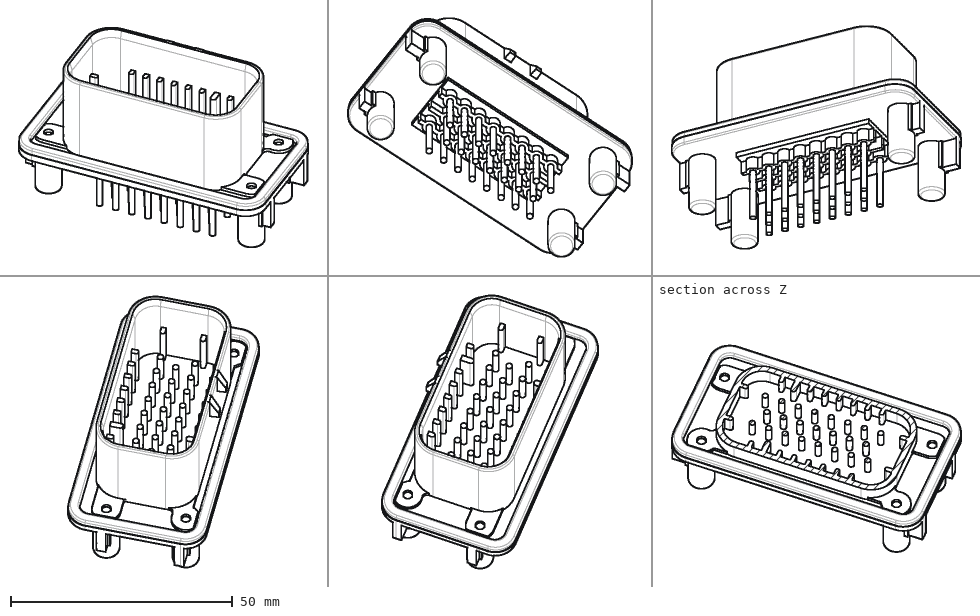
import cadquery as cq
import math

BASE_TOP = 1.8
FLANGE_TOP = 3.35
PAD_TOP = 2.6
PIN_TOP = 9.35
RIB_TOP = 12.15
SHELL_TOP = 21.9
SLAB_BOTTOM = -1.15
BOSS_BOTTOM = -4.1
LEG_BOTTOM = -6.7
POST_BOTTOM = -12.5
PIN_BOTTOM = -16.2

FLANGE_LENGTH = 60.8
FLANGE_WIDTH = 32.1
FLANGE_CORNER = 5.0
RIM_STEP = 0.1
RIM_FILLET = 0.4
BASE_FILLET = 0.35
RECESS_LENGTH = 55.6
RECESS_WIDTH = 26.75
RECESS_CORNER = 2.45

SHELL_LENGTH = 43.4
SHELL_WIDTH = 23.6
SHELL_CORNER = 6.25
SHELL_WALL = 1.5
SHELL_FILLET = 0.4
LEAD_IN_DEPTH = 1.8
LEAD_IN_INSET = 0.55

LATCH_SPACING = 7.2
LATCH_TIP_WIDTH = 1.45
LATCH_BASE_WIDTH = 1.95
LATCH_TIP_Y = 13.8
LATCH_TOP_Y = 11.7
LATCH_ROOT_Y = 11.3
LATCH_BOTTOM = 16.4
LATCH_SHOULDER = 17.95

REAR_POST_X = 23.65
REAR_POST_Y = 10.75
FRONT_POST_X = 25.2
FRONT_POST_Y = -7.3
POST_RADIUS = 3.05
POST_FILLET = 0.55
PAD_RADIUS = 3.3
PAD_HOLE_DIAMETER = 2.1
PAD_ROOT_X = 17.0
REAR_PAD_FLAT_Y = 13.0
REAR_PAD_SHOULDER_X = 21.2
REAR_PAD_ARM_X = 20.2
REAR_PAD_ARM_Y = 11.7
REAR_PAD_NECK_RADIUS = 1.2
FRONT_PAD_FLAT_X = 27.25
FRONT_PAD_NECK_RADIUS = 0.35

LEG_FIN_WIDTH = 2.1
LEG_WEB_WIDTH = 3.2
LEG_WEB_REACH = 3.35

LONG_ROW_COUNT = 8
LONG_ROW_SPAN = 28.0
PIN_PITCH = LONG_ROW_SPAN / (LONG_ROW_COUNT - 1)
PIN_DIAMETER = 1.4
PIN_ROWS = ((PIN_PITCH, LONG_ROW_COUNT), (0.0, LONG_ROW_COUNT - 1), (-PIN_PITCH, LONG_ROW_COUNT))
BOSS_DIAMETER = 3.1
BOSS_WEB_WIDTH = 1.05
SLAB_LENGTH = 33.45
SLAB_WIDTH = 14.0

RIB_COUNT = 8
RIB_SPAN = 24.4
RIB_PITCH = RIB_SPAN / (RIB_COUNT - 1)
RIB_WIDTH = 1.1
RIB_REACH = 1.65
KEY_RIB_INDEX = 6
KEY_RIB_WIDTH = 1.35
KEY_RIB_REACH = 3.0
END_RIB_WIDTH = 1.15
END_RIB_REACH = 1.75
END_RIB_Y = 4.7


def rounded_block(length, width, corner, bottom, top):
    """Block centred on Z with rounded vertical edges."""
    block = cq.Workplane("XY").workplane(offset=bottom).rect(length, width).extrude(top - bottom)
    return block.edges("|Z").fillet(corner)


def box(x_min, x_max, y_min, y_max, bottom, top):
    """Box between the given limits."""
    corner = (x_min, y_min, bottom)
    block = cq.Workplane("XY").box(x_max - x_min, y_max - y_min, top - bottom, centered=False)
    return block.translate(corner)


def cylinders(centres, diameter, bottom, top):
    """Equal vertical cylinders at the given centres."""
    circles = cq.Workplane("XY").workplane(offset=bottom).pushPoints(centres).circle(diameter / 2)
    return circles.extrude(top - bottom)


def both_ends(shape):
    """The shape together with its mirror image across the YZ plane."""
    return shape.union(shape.mirror("YZ"))


def make_flange():
    base = rounded_block(FLANGE_LENGTH, FLANGE_WIDTH, FLANGE_CORNER, 0, BASE_TOP)
    base = base.faces("<Z").edges().fillet(BASE_FILLET)
    rim = rounded_block(
        FLANGE_LENGTH - 2 * RIM_STEP,
        FLANGE_WIDTH - 2 * RIM_STEP,
        FLANGE_CORNER - RIM_STEP,
        BASE_TOP,
        FLANGE_TOP,
    )
    recess = rounded_block(RECESS_LENGTH, RECESS_WIDTH, RECESS_CORNER, BASE_TOP, FLANGE_TOP)
    rim = rim.cut(recess).faces(">Z").edges().fillet(RIM_FILLET)
    return base.union(rim)


def make_shell_block():
    block = rounded_block(SHELL_LENGTH, SHELL_WIDTH, SHELL_CORNER, BASE_TOP, SHELL_TOP)
    return block.faces(">Z").edges().fillet(SHELL_FILLET)


def make_cavity():
    """Space inside the shell, widening towards the mouth."""
    length = SHELL_LENGTH - 2 * SHELL_WALL
    width = SHELL_WIDTH - 2 * SHELL_WALL
    corner = SHELL_CORNER - SHELL_WALL
    cavity = rounded_block(length, width, corner, BASE_TOP, SHELL_TOP)
    mouth_plan = (
        cq.Sketch()
        .rect(length + 2 * LEAD_IN_INSET, width + 2 * LEAD_IN_INSET)
        .vertices()
        .fillet(corner + LEAD_IN_INSET)
    )
    lead_in_angle = math.degrees(math.atan2(LEAD_IN_INSET, LEAD_IN_DEPTH))
    mouth = cq.Workplane("XY").workplane(offset=SHELL_TOP).placeSketch(mouth_plan)
    mouth = mouth.extrude(-LEAD_IN_DEPTH, taper=lead_in_angle)
    return cavity.union(mouth)


def make_latch(x):
    """Ramp that narrows away from the wall."""
    side = [
        (LATCH_ROOT_Y, LATCH_BOTTOM),
        (LATCH_TIP_Y, LATCH_BOTTOM),
        (LATCH_TIP_Y, LATCH_SHOULDER),
        (LATCH_TOP_Y, SHELL_TOP),
        (LATCH_ROOT_Y, SHELL_TOP),
    ]
    plan = [
        (-LATCH_BASE_WIDTH / 2, LATCH_ROOT_Y),
        (-LATCH_TIP_WIDTH / 2, LATCH_TIP_Y),
        (LATCH_TIP_WIDTH / 2, LATCH_TIP_Y),
        (LATCH_BASE_WIDTH / 2, LATCH_ROOT_Y),
    ]
    ramp = cq.Workplane("YZ").polyline(side).close().extrude(LATCH_BASE_WIDTH / 2, both=True)
    outline = cq.Workplane("XY").polyline(plan).close().extrude(SHELL_TOP)
    return ramp.intersect(outline).translate((x, 0, 0))


def make_rear_pad():
    """Round pad at +X, +Y, cut flat on its outer side, with an arm and a filleted neck to the shell."""
    shell_x = SHELL_LENGTH / 2
    flat_x = REAR_POST_X + math.sqrt(PAD_RADIUS**2 - (REAR_PAD_FLAT_Y - REAR_POST_Y) ** 2)
    neck_x = shell_x + REAR_PAD_NECK_RADIUS
    neck_top = REAR_POST_Y - math.sqrt(PAD_RADIUS**2 - (REAR_POST_X - neck_x) ** 2)
    neck_y = neck_top - REAR_PAD_NECK_RADIUS
    diagonal = REAR_PAD_NECK_RADIUS * math.sqrt(0.5)
    outline = (
        cq.Workplane("XY")
        .workplane(offset=BASE_TOP)
        .moveTo(PAD_ROOT_X, REAR_PAD_ARM_Y)
        .lineTo(REAR_PAD_ARM_X, REAR_PAD_ARM_Y)
        .lineTo(REAR_PAD_SHOULDER_X, REAR_PAD_FLAT_Y)
        .lineTo(flat_x, REAR_PAD_FLAT_Y)
        .threePointArc((REAR_POST_X + PAD_RADIUS, REAR_POST_Y), (neck_x, neck_top))
        .threePointArc((neck_x - diagonal, neck_y + diagonal), (shell_x, neck_y))
        .lineTo(PAD_ROOT_X, neck_y)
        .close()
    )
    return outline.extrude(PAD_TOP - BASE_TOP)


def make_front_pad():
    """Pad at +X, -Y, rounded about its post, cut flat at its end and running into the shell."""
    shell_x = SHELL_LENGTH / 2
    top = FRONT_POST_Y + PAD_RADIUS
    bottom = FRONT_POST_Y - PAD_RADIUS
    flat_offset = FRONT_PAD_FLAT_X - FRONT_POST_X
    flat_half = math.sqrt(PAD_RADIUS**2 - flat_offset**2)
    half_angle = (math.pi / 2 + math.atan2(flat_half, flat_offset)) / 2
    mid_x = FRONT_POST_X + PAD_RADIUS * math.cos(half_angle)
    mid_rise = PAD_RADIUS * math.sin(half_angle)
    neck = FRONT_PAD_NECK_RADIUS
    diagonal = neck * math.sqrt(0.5)
    outline = (
        cq.Workplane("XY")
        .workplane(offset=BASE_TOP)
        .moveTo(PAD_ROOT_X, bottom)
        .lineTo(FRONT_POST_X, bottom)
        .threePointArc((mid_x, FRONT_POST_Y - mid_rise), (FRONT_PAD_FLAT_X, FRONT_POST_Y - flat_half))
        .lineTo(FRONT_PAD_FLAT_X, FRONT_POST_Y + flat_half)
        .threePointArc((mid_x, FRONT_POST_Y + mid_rise), (FRONT_POST_X, top))
        .lineTo(shell_x + neck, top)
        .threePointArc((shell_x + neck - diagonal, top + neck - diagonal), (shell_x, top + neck))
        .lineTo(PAD_ROOT_X, top + neck)
        .close()
    )
    return outline.extrude(PAD_TOP - BASE_TOP)


def make_post(x, y):
    """Mounting post and the leg that ties it to the end of the flange."""
    post = cylinders([(x, y)], 2 * POST_RADIUS, POST_BOTTOM, BASE_TOP)
    post = post.faces("<Z").edges().fillet(POST_FILLET)
    fin = box(x, FLANGE_LENGTH / 2, y - LEG_FIN_WIDTH / 2, y + LEG_FIN_WIDTH / 2, LEG_BOTTOM, BASE_TOP)
    web = box(x, x + LEG_WEB_REACH, y - LEG_WEB_WIDTH / 2, y + LEG_WEB_WIDTH / 2, LEG_BOTTOM, BASE_TOP)
    limit = rounded_block(FLANGE_LENGTH, FLANGE_WIDTH, FLANGE_CORNER, LEG_BOTTOM, BASE_TOP)
    return post.union(fin.union(web).intersect(limit))


def pin_centres():
    """Centres of all pins, row by row."""
    return [
        ((index - (count - 1) / 2) * PIN_PITCH, y)
        for y, count in PIN_ROWS
        for index in range(count)
    ]


def make_pin_carrier():
    """Slab under the flange with one webbed row of bosses per pin row."""
    half = SLAB_LENGTH / 2
    carrier = box(-half, half, -SLAB_WIDTH / 2, SLAB_WIDTH / 2, SLAB_BOTTOM, BASE_TOP)
    for y, _ in PIN_ROWS:
        carrier = carrier.union(
            box(-half, half, y - BOSS_WEB_WIDTH / 2, y + BOSS_WEB_WIDTH / 2, BOSS_BOTTOM, BASE_TOP)
        )
    return carrier.union(cylinders(pin_centres(), BOSS_DIAMETER, BOSS_BOTTOM, BASE_TOP))


def make_pins():
    return cylinders(pin_centres(), PIN_DIAMETER, PIN_BOTTOM, PIN_TOP)


def make_rib(width, reach):
    """Rib with a rounded nose, reaching along +X from a wall face at x = 0."""
    nose = cylinders([(reach - width / 2, 0)], width, BASE_TOP, RIB_TOP)
    body = box(-SHELL_WALL / 2, reach - width / 2, -width / 2, width / 2, BASE_TOP, RIB_TOP)
    return body.union(nose)


def make_ribs():
    wall_x = SHELL_LENGTH / 2 - SHELL_WALL
    wall_y = SHELL_WIDTH / 2 - SHELL_WALL
    ribs = cq.Workplane("XY")
    for index in range(RIB_COUNT):
        is_key = index == KEY_RIB_INDEX
        width = KEY_RIB_WIDTH if is_key else RIB_WIDTH
        reach = KEY_RIB_REACH if is_key else RIB_REACH
        x = (index - (RIB_COUNT - 1) / 2) * RIB_PITCH
        for side, turn in ((1, -90), (-1, 90)):
            rib = make_rib(width, reach).rotate((0, 0, 0), (0, 0, 1), turn)
            ribs = ribs.add(rib.translate((x, side * wall_y, 0)))
    for side, turn in ((1, 180), (-1, 0)):
        for y in (END_RIB_Y, -END_RIB_Y):
            rib = make_rib(END_RIB_WIDTH, END_RIB_REACH).rotate((0, 0, 0), (0, 0, 1), turn)
            ribs = ribs.add(rib.translate((side * wall_x, y, 0)))
    return ribs.combine()


housing = make_flange().union(make_shell_block())
for latch_x in (-LATCH_SPACING / 2, LATCH_SPACING / 2):
    housing = housing.union(make_latch(latch_x))
housing = housing.union(both_ends(make_rear_pad()))
housing = housing.union(both_ends(make_front_pad()))
housing = housing.cut(make_cavity())

for post_x, post_y in ((REAR_POST_X, REAR_POST_Y), (FRONT_POST_X, FRONT_POST_Y)):
    housing = housing.union(both_ends(make_post(post_x, post_y)))
    hole = cylinders([(post_x, post_y)], PAD_HOLE_DIAMETER, BASE_TOP, PAD_TOP)
    housing = housing.cut(both_ends(hole))

result = housing.union(make_ribs()).union(make_pin_carrier()).union(make_pins())